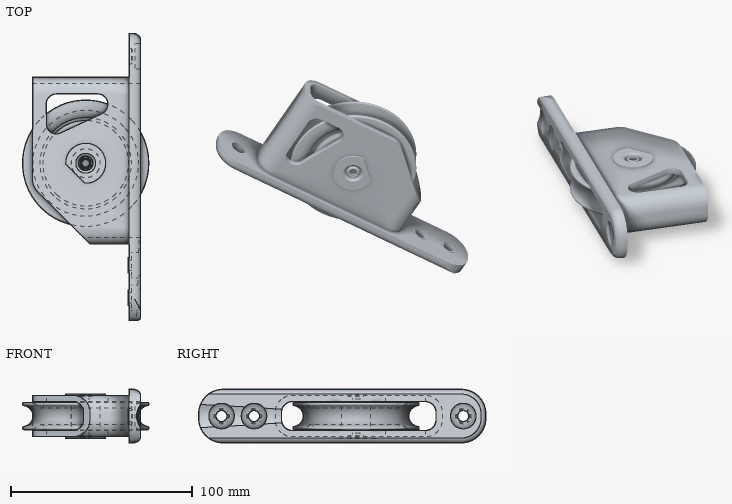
import cadquery as cq
import math


plate_length = 158
plate_height = 29.5
plate_thickness = 6.3
plate_top_y = 71.4
plate_bottom_y = plate_top_y - plate_length
plate_back_x = 23.9
plate_face_x = plate_back_x + plate_thickness
plate_corner = 13.6
plate_side_band = 2.0
plate_face_round = 4.7

shell_front_x = -29.2
shell_top_y = 47.4
shell_bottom_y = -44.4
shell_height = 22.8
shell_corner = 9.3
shell_wall = 3.5
cavity_height = shell_height - 2 * shell_wall
cavity_corner = shell_corner - shell_wall
bevel_start_y = -12.8
bevel_end_x = shell_front_x + bevel_start_y - shell_bottom_y
bevel_blend = 10.0

window_left_x = -21.6
window_right_x = 12.2
window_top_y = shell_top_y - shell_corner
window_low_left_y = 13.0
window_low_right_y = 28.8
window_corner = 5.5

axle_diameter = 15.8
pad_diameter = 22.0
pad_span = 24.5
pad_flat_offset = 8.0
sink_diameter = 10.9
sink_floor_diameter = 8.0
sink_depth = 1.5
nub_base_diameter = 7.5
nub_top_diameter = 6.0
nub_height = 1.0
socket_step_diameter = 5.2
socket_step_depth = 0.6
socket_diameter = 4.1
socket_depth = 2.4

screw_diameter = 6.0
screw_step_diameter = 7.5
screw_step_depth = 0.5
screw_land = 1.5
screw_head_diameter = 14.0
screw_rim_diameter = 8.5
screw_rim_height = 0.5
screw_recess_depth = 1.5
recessed_screw_y = 59.0
rimmed_screw_ys = (-56.1, -74.0)

relief_axis_x = 38.4
relief_end_radius = 10.5
relief_inner_radius = 9.0

wheel_radius = 34.8
wheel_thickness = 15.2
wheel_bore = 16.0
rim_thickness = 1.9
groove_bottom_radius = 29.0
shoulder_start_radius = 31.9
shoulder_end_radius = 25.1
shoulder_sweep = math.radians(48)
hub_radius = 23.5
hub_face_radius = 21.5


def box_between(x0, x1, y0, y1, height):
    """Box centred on Z = 0 between the given X and Y limits."""
    return (
        cq.Workplane("XY")
        .box(x1 - x0, y1 - y0, height)
        .translate(((x0 + x1) / 2, (y0 + y1) / 2, 0))
    )


def plate_cylinder(y, diameter, x0, x1):
    """Cylinder along X, centred on Z = 0 at the given Y."""
    return cq.Workplane("YZ", origin=(x0, y, 0)).circle(diameter / 2).extrude(x1 - x0)


def make_plate():
    """Round-ended plate, its outer edge rounded along the sides and the +Y end but not the -Y end.

    The rounding starts tangent to the side and meets the outer face at an edge, so it is made on a
    slightly thicker and longer blank that is then trimmed.
    """
    blank_face_x = plate_back_x + plate_side_band + plate_face_round
    blank_bottom_y = plate_bottom_y - plate_corner
    blank = box_between(plate_back_x, blank_face_x, blank_bottom_y, plate_top_y, plate_height)
    blank = blank.edges("|X and >Y").fillet(plate_corner)
    blank = blank.faces(">X").edges("not <Y").fillet(plate_face_round)
    outline = box_between(plate_back_x, plate_face_x, plate_bottom_y, plate_top_y, plate_height)
    return blank.intersect(outline.edges("|X").fillet(plate_corner))


def make_shell_blank():
    """Solid outer form of the shell, with its lower front corner bevelled at 45 degrees."""
    blank = box_between(shell_front_x, plate_back_x, shell_bottom_y, shell_top_y, shell_height)
    blank = blank.edges("|X").fillet(shell_corner)
    side = (
        cq.Workplane("XY")
        .polyline(
            [
                (shell_front_x, shell_top_y),
                (plate_back_x, shell_top_y),
                (plate_back_x, shell_bottom_y),
                (bevel_end_x, shell_bottom_y),
                (shell_front_x, bevel_start_y),
            ]
        )
        .close()
        .extrude(shell_height / 2, both=True)
    )
    blend_edge = cq.selectors.NearestToPointSelector((shell_front_x, bevel_start_y, 0))
    return blank.intersect(side.edges("|Z").edges(blend_edge).fillet(bevel_blend))


def make_cavity():
    """Wheel space, open at the front and through the plate."""
    cavity = box_between(
        shell_front_x,
        plate_face_x,
        shell_bottom_y + shell_wall,
        shell_top_y - shell_wall,
        cavity_height,
    )
    return cavity.edges("|X").fillet(cavity_corner)


def make_window():
    return (
        cq.Workplane("XY")
        .polyline(
            [
                (window_left_x, window_top_y),
                (window_right_x, window_top_y),
                (window_right_x, window_low_right_y),
                (window_left_x, window_low_left_y),
            ]
        )
        .close()
        .extrude(shell_height / 2, both=True)
        .edges("|Z")
        .fillet(window_corner)
    )


def make_rope_relief():
    """Tapered round channel from the -Y end of the plate to the wheel opening."""
    cavity_bottom_y = shell_bottom_y + shell_wall
    cone = cq.Solid.makeCone(
        relief_end_radius,
        relief_inner_radius,
        cavity_bottom_y - plate_bottom_y,
        cq.Vector(relief_axis_x, plate_bottom_y, 0),
        cq.Vector(0, 1, 0),
    )
    return cq.Workplane(cone)


def make_axle_recess():
    """Countersunk recess at the upper end of the axle, with a socketed conical nub on its floor."""
    top = pad_span / 2
    floor = top - sink_depth
    nub_top = floor + nub_height
    profile = [
        (0, top),
        (sink_diameter / 2, top),
        (sink_floor_diameter / 2, floor),
        (nub_base_diameter / 2, floor),
        (nub_top_diameter / 2, nub_top),
        (socket_step_diameter / 2, nub_top),
        (socket_step_diameter / 2, nub_top - socket_step_depth),
        (socket_diameter / 2, nub_top - socket_step_depth),
        (socket_diameter / 2, nub_top - socket_depth),
        (0, nub_top - socket_depth),
    ]
    return cq.Workplane("XZ").polyline(profile).close().revolve(360, (0, 0, 0), (0, 1, 0))


def make_axle():
    """Axle with a pad outside each shell wall, the pads flattened on the side facing the bevel."""
    pads = cq.Workplane("XY").circle(pad_diameter / 2).extrude(pad_span / 2, both=True)
    keep = (
        cq.Workplane("XY")
        .box(pad_diameter, 2 * pad_diameter, pad_span)
        .translate((pad_diameter / 2 - pad_flat_offset, 0, 0))
        .rotate((0, 0, 0), (0, 0, 1), 45)
    )
    between_walls = cq.Workplane("XY").circle(pad_diameter).extrude(cavity_height / 2, both=True)
    pads = pads.intersect(keep).cut(between_walls)
    axle = pads.union(cq.Workplane("XY").circle(axle_diameter / 2).extrude(cavity_height / 2, both=True))
    recess = make_axle_recess()
    return axle.cut(recess).cut(recess.mirror("XY"))


def cut_screw_hole(body, y, entry_x):
    """Screw hole with a small step behind and a counterbore for the screw head in the outer face."""
    step_floor_x = entry_x + screw_step_depth
    head_floor_x = step_floor_x + screw_land
    step = plate_cylinder(y, screw_step_diameter, entry_x, step_floor_x)
    land = plate_cylinder(y, screw_diameter, step_floor_x, head_floor_x)
    head = plate_cylinder(y, screw_head_diameter, head_floor_x, plate_face_x)
    return body.cut(step).cut(land).cut(head)


def make_housing():
    body = make_plate().union(make_shell_blank())
    body = body.cut(make_cavity()).cut(make_window()).cut(make_rope_relief())

    recess_floor_x = plate_back_x + screw_recess_depth
    body = body.cut(plate_cylinder(recessed_screw_y, screw_rim_diameter, plate_back_x, recess_floor_x))
    body = cut_screw_hole(body, recessed_screw_y, recess_floor_x)

    rim_x = plate_back_x - screw_rim_height
    for y in rimmed_screw_ys:
        body = body.union(plate_cylinder(y, screw_rim_diameter, rim_x, plate_back_x))
        body = cut_screw_hole(body, y, rim_x)

    axle_hole = cq.Workplane("XY").circle(axle_diameter / 2).extrude(shell_height / 2, both=True)
    return body.cut(axle_hole).union(make_axle())


def make_dish_cutter():
    """Ring that hollows the upper side of the wheel between hub and rim."""
    face_z = wheel_thickness / 2
    shoulder_round = (shoulder_start_radius - shoulder_end_radius) / math.sin(shoulder_sweep)
    floor_z = face_z - shoulder_round * (1 - math.cos(shoulder_sweep))
    shoulder_mid_radius = shoulder_start_radius - shoulder_round * math.sin(shoulder_sweep / 2)
    shoulder_mid_z = face_z - shoulder_round * (1 - math.cos(shoulder_sweep / 2))
    hub_round = hub_radius - hub_face_radius
    hub_mid_radius = hub_face_radius + hub_round * math.sin(math.pi / 4)
    hub_mid_z = face_z - hub_round * (1 - math.cos(math.pi / 4))
    return (
        cq.Workplane("XZ")
        .moveTo(hub_face_radius, face_z)
        .threePointArc((hub_mid_radius, hub_mid_z), (hub_radius, face_z - hub_round))
        .lineTo(hub_radius, floor_z)
        .lineTo(shoulder_end_radius, floor_z)
        .threePointArc((shoulder_mid_radius, shoulder_mid_z), (shoulder_start_radius, face_z))
        .close()
        .revolve(360, (0, 0, 0), (0, 1, 0))
    )


def make_wheel():
    """Wheel with a round rope groove between rounded rims, dished on both sides."""
    face_z = wheel_thickness / 2
    rim_round = rim_thickness / 2
    rim_mid_z = face_z - rim_round
    rim_flat_radius = wheel_radius - rim_round
    lip_z = face_z - rim_thickness
    bore_radius = wheel_bore / 2
    wheel = (
        cq.Workplane("XZ")
        .moveTo(bore_radius, face_z)
        .lineTo(rim_flat_radius, face_z)
        .threePointArc((wheel_radius, rim_mid_z), (rim_flat_radius, lip_z))
        .threePointArc((groove_bottom_radius, 0), (rim_flat_radius, -lip_z))
        .threePointArc((wheel_radius, -rim_mid_z), (rim_flat_radius, -face_z))
        .lineTo(bore_radius, -face_z)
        .close()
        .revolve(360, (0, 0, 0), (0, 1, 0))
    )
    dish = make_dish_cutter()
    return wheel.cut(dish).cut(dish.mirror("XY"))


housing = make_housing()
wheel = make_wheel()
result = cq.Compound.makeCompound([housing.solids().val(), wheel.solids().val()])